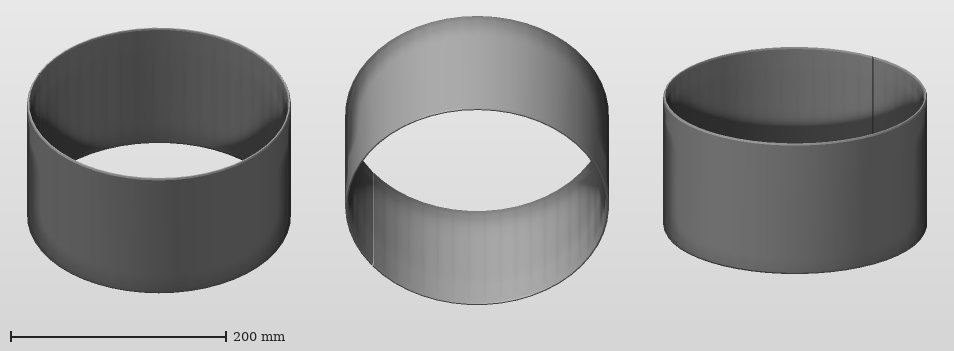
import cadquery as cq
import math

outer_diameter = 245.0
height = 130.0
wall = 2.5
outer_chamfer_depth = 0.7
inner_chamfer_depth = 0.5
chamfer_height = 1.5
slit_width = 1.7

outer_radius = outer_diameter / 2
inner_radius = outer_radius - wall

land_outer_radius = outer_radius - outer_chamfer_depth
land_inner_radius = inner_radius + inner_chamfer_depth
upper_chamfer_start = height - chamfer_height

section = (
    cq.Workplane("XZ")
    .moveTo(-land_inner_radius, 0)
    .lineTo(-land_outer_radius, 0)
    .lineTo(-outer_radius, chamfer_height)
    .lineTo(-outer_radius, upper_chamfer_start)
    .lineTo(-land_outer_radius, height)
    .lineTo(-land_inner_radius, height)
    .lineTo(-inner_radius, upper_chamfer_start)
    .lineTo(-inner_radius, chamfer_height)
    .close()
)

slit_angle = math.degrees(slit_width / outer_radius)
result = section.revolve(360 - slit_angle, (0, 0, 0), (0, 1, 0))